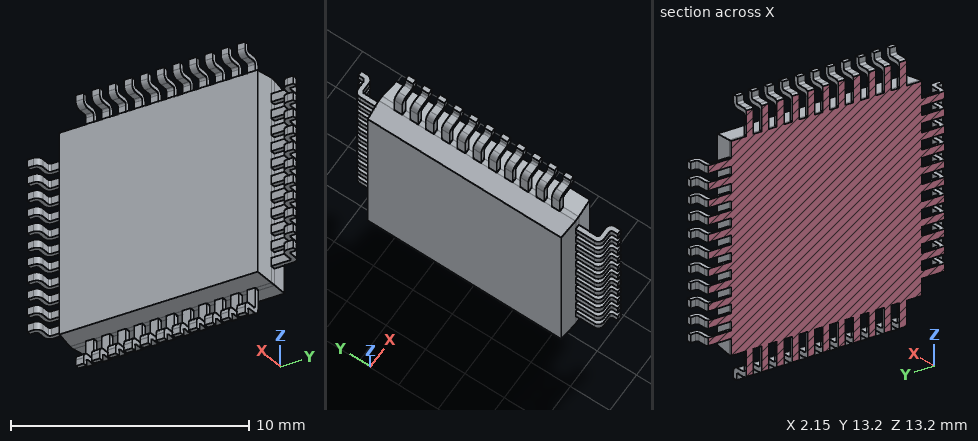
import cadquery as cq

body_thickness = 2.15
body_side = 10.0
draft_angle = 5.0

lead_thickness = 0.25
lead_width = 0.4
lead_pitch = 0.8
leads_per_side = 11
span = 13.2
foot_standoff = 0.15
foot_length = .35
inner_bend_radius = 0.1
outer_bend_radius = 0.3
lead_embed = 0.5

half_side = body_side / 2
half_band = lead_thickness / 2
half_thickness = body_thickness / 2
foot_back = half_thickness - foot_standoff
foot_front = foot_back - lead_thickness
lead_tip = span / 2
arm_outer = lead_tip - foot_length
arm_inner = arm_outer - lead_thickness


def make_body():
    """Straight parting band with a drafted half on each face."""
    band = cq.Workplane("YZ").rect(body_side, body_side).extrude(half_band, both=True)
    half_depth = half_thickness - half_band
    back = (
        cq.Workplane("YZ", origin=(half_band, 0, 0))
        .rect(body_side, body_side)
        .extrude(half_depth, taper=draft_angle)
    )
    front = back.mirror("YZ")
    return band.union(back).union(front)


def round_bend(lead, corner, radius):
    """Fillet the lead edge that runs along Y through the XZ corner point."""
    x, z = corner
    selector = cq.selectors.NearestToPointSelector((x, 0, z))
    return lead.edges("|Y").edges(selector).fillet(radius)


def make_lead():
    """One lead on the +Z side, centred on Y = 0, profiled in the XZ plane."""
    root = half_side - lead_embed
    shoulder_outside = (-half_band, arm_outer)
    shoulder_inside = (half_band, arm_inner)
    heel_outside = (foot_back, arm_inner)
    heel_inside = (foot_front, arm_outer)
    outline = [
        (-half_band, root),
        shoulder_outside,
        heel_inside,
        (foot_front, lead_tip),
        (foot_back, lead_tip),
        heel_outside,
        shoulder_inside,
        (half_band, root),
    ]
    lead = cq.Workplane("XZ").polyline(outline).close().extrude(lead_width / 2, both=True)
    for corner in (shoulder_outside, heel_outside):
        lead = round_bend(lead, corner, outer_bend_radius)
    for corner in (shoulder_inside, heel_inside):
        lead = round_bend(lead, corner, inner_bend_radius)
    return lead


def make_lead_solids():
    """The row of leads repeated on all four edges of the body."""
    lead = make_lead()
    first_offset = -lead_pitch * (leads_per_side - 1) / 2
    solids = []
    for edge_angle in (0, 90, 180, 270):
        for index in range(leads_per_side):
            placed = lead.translate((0, first_offset + index * lead_pitch, 0))
            turned = placed.rotate((0, 0, 0), (1, 0, 0), edge_angle)
            solids.append(turned.val())
    return solids


body = make_body()
result = cq.Workplane(body.val().fuse(*make_lead_solids()))